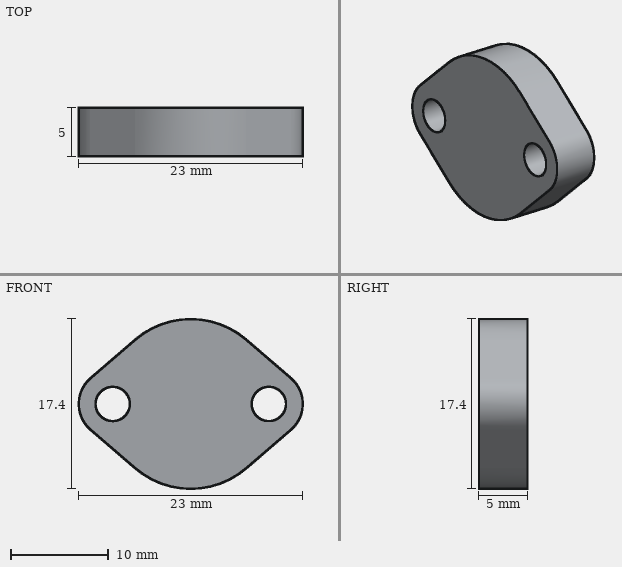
import cadquery as cq
import math

length = 23.0
thickness = 5.0
body_radius = 8.72
end_radius = 3.5
hole_diameter = 3.5

hole_offset = length / 2 - end_radius

tangent_angle = math.acos((body_radius - end_radius) / hole_offset)
tangent_x = math.cos(tangent_angle)
tangent_z = math.sin(tangent_angle)

body_x = body_radius * tangent_x
body_z = body_radius * tangent_z
ear_x = hole_offset + end_radius * tangent_x
ear_z = end_radius * tangent_z

flange = (
    cq.Workplane("XZ", origin=(0, thickness / 2, 0))
    .moveTo(-body_x, body_z)
    .threePointArc((0, body_radius), (body_x, body_z))
    .lineTo(ear_x, ear_z)
    .threePointArc((length / 2, 0), (ear_x, -ear_z))
    .lineTo(body_x, -body_z)
    .threePointArc((0, -body_radius), (-body_x, -body_z))
    .lineTo(-ear_x, -ear_z)
    .threePointArc((-length / 2, 0), (-ear_x, ear_z))
    .close()
    .extrude(thickness)
)

result = (
    flange.faces("<Y").workplane(origin=(0, 0, 0))
    .pushPoints([(-hole_offset, 0), (hole_offset, 0)])
    .hole(hole_diameter)
)